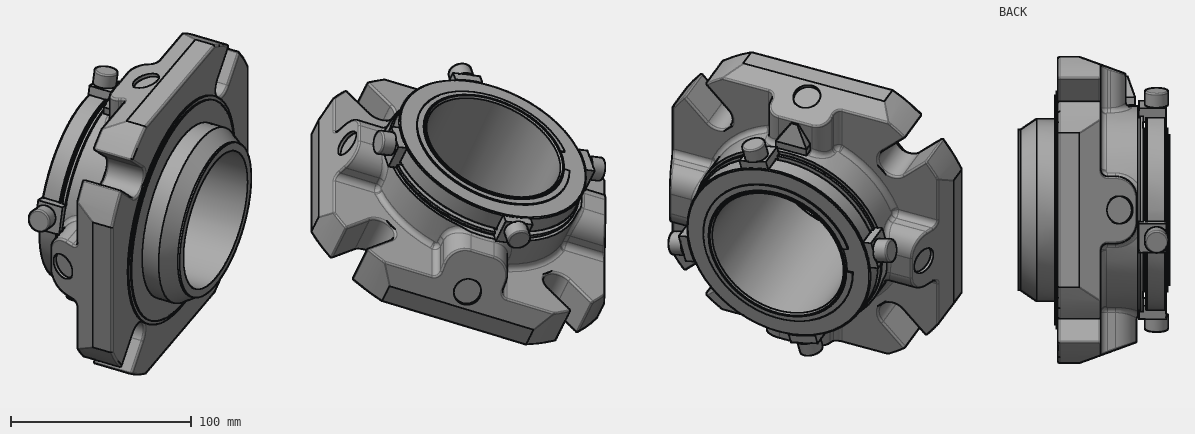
import cadquery as cq
import math


flange_size = 169.5
flange_front = 38.0
flange_back = 61.8
flange_corner_radius = 94.9
flange_edge_round = 1.2
corner_edge_round = 0.8
taper_start = 49.8
taper_angle = 20.0
quarter_turns = (0, 90, 180, 270)

slot_width = 17.5
slot_center_radius = 74.9

gasket_steps = ((131.5, 0.8), (127.0, 1.5))

gland_front = 17.5
gland_radius = 57.6
gland_root_round = 3.0

boss_front = 18.1
boss_half_width = 18.6
boss_corner_round = 11.9
logo_boss_front = 24.2
logo_boss_corner_round = 8.5
boss_root_round = 3.5
port_diameter = 15.2
port_depth = 2.0
side_port_x = 27.5
upright_port_x = 40.5

spigot_diameter = 112.7
spigot_front = 14.5
spigot_back = 16.3
groove_diameter = 111.1
rim_diameter = 90.5
rim_front = 13.9

bore_diameter = 79.5
bore_chamfer = 1.0
sleeve_diameter = 83.2
sleeve_length = 83.5
sleeve_tail_diameter = 101.1
sleeve_cone_start = 73.5
sleeve_cone_end = 82.3
sleeve_end_diameter = 89.1
collar_diameter = 111.1
collar_front = 1.9
collar_back = 13.0
collar_chamfer = 0.7

snap_ring_diameter = 90.5
snap_ring_front = 1.0
snap_ring_gap_angle = 20.5

clip_angle = -15.0
clip_width = 16.6
clip_outer_radius = 60.3
clip_back = 17.0
clip_lip_radius = 52.5
clip_seat_radius = 54.2
screw_x = 7.2
screw_diameter = 13.0
screw_top_radius = 68.5
screw_edge_round = 0.8

plate_half_width = 9.3
plate_tip_half_width = 1.9
plate_bottom = 58.0
plate_shoulder = 62.3
plate_tip = 74.0
plate_front = 19.0
plate_tip_step = 1.0

tolerance = 0.02
taper_slope = math.tan(math.radians(taper_angle))


def cylinder(diameter, start, end):
    """Cylinder about the X axis."""
    return cq.Workplane("YZ").workplane(offset=start).circle(diameter / 2).extrude(end - start)


def about_axis(shape, angle):
    """Turn a shape about the X axis; a positive angle leads from +Z towards -Y."""
    return shape.rotate((0, 0, 0), (1, 0, 0), angle)


def boss(front, corner_round):
    """Boss on the +Z side, blending into the flange face with concave root rounds."""
    half = boss_half_width
    side_start = front + corner_round
    side_end = flange_front - boss_root_round
    flat = half - corner_round
    convex = corner_round * (1 - math.sqrt(0.5))
    concave = boss_root_round * (1 - math.sqrt(0.5))
    foot = half + boss_root_round
    profile = (
        cq.Workplane("XY")
        .moveTo(taper_start, -foot)
        .lineTo(flange_front, -foot)
        .threePointArc((flange_front - concave, -half - concave), (side_end, -half))
        .lineTo(side_start, -half)
        .threePointArc((front + convex, -half + convex), (front, -flat))
        .lineTo(front, flat)
        .threePointArc((front + convex, half - convex), (side_start, half))
        .lineTo(side_end, half)
        .threePointArc((flange_front - concave, half + concave), (flange_front, foot))
        .lineTo(taper_start, foot)
        .close()
    )
    return profile.extrude(flange_size / 2)


def taper_envelope():
    """Square block whose four sides lean inward in front of the taper start."""
    half = flange_size / 2
    front_half = half - taper_start * taper_slope
    outline = [
        (0, -front_half), (taper_start, -half), (flange_back, -half),
        (flange_back, half), (taper_start, half), (0, front_half),
    ]
    side = cq.Workplane("XZ").polyline(outline).close().extrude(half, both=True)
    return side.intersect(about_axis(side, 90))


def make_flange():
    body = cylinder(2 * flange_corner_radius, flange_front, flange_back)
    for angle in quarter_turns:
        if angle == 0:
            lug = boss(logo_boss_front, logo_boss_corner_round)
        else:
            lug = boss(boss_front, boss_corner_round)
        body = body.union(about_axis(lug, angle))
    body = body.intersect(taper_envelope())
    slot = (
        cq.Workplane("XY").workplane(offset=slot_center_radius)
        .center(flange_back / 2, 0)
        .rect(2 * flange_back, slot_width)
        .extrude(flange_size)
        .union(cq.Workplane("YZ").center(0, slot_center_radius).circle(slot_width / 2).extrude(flange_back))
    )
    for angle in quarter_turns:
        body = body.cut(about_axis(slot, angle + 45))
    return body


def in_plane(edge, x):
    box = edge.BoundingBox()
    return abs(box.xmin - x) < tolerance and abs(box.xmax - x) < tolerance


def on_cylinder(edge, radius):
    points = [edge.positionAt(step / 4) for step in range(5)]
    return all(abs(math.hypot(point.y, point.z) - radius) < tolerance for point in points)


def add_barrel(body):
    """Gland barrel, with one root round running along the flange and around the bosses.

    The barrel starts out long enough to carry the full root round, then is faced off.
    """
    rough_front = boss_front - 2 * gland_root_round
    body = body.union(cylinder(2 * gland_radius, rough_front, flange_back))
    roots = [
        edge for edge in body.edges().vals()
        if on_cylinder(edge, gland_radius)
        and rough_front + tolerance < edge.BoundingBox().xmax < flange_front + tolerance
    ]
    rounded = body.newObject(roots).fillet(gland_root_round)
    return rounded.cut(cylinder(flange_size, 0, gland_front))


def round_outer_edges(body):
    """Round the tapered sides, the slots and the flange back, then the corner arcs between them."""
    taper_sine = math.sin(math.radians(taper_angle))
    edges = [edge for edge in body.edges().vals() if in_plane(edge, flange_back)]
    for face in body.faces("%PLANE").vals():
        if abs(face.normalAt().x + taper_sine) < tolerance:
            edges += [
                edge for edge in face.Edges()
                if edge.BoundingBox().xmax < flange_front + tolerance
            ]
    for edge in body.edges().vals():
        diagonal = edge.geomType() == "LINE" and abs(abs(edge.tangentAt(0.5).y) - math.sqrt(0.5)) < tolerance
        slot_end = edge.geomType() == "CIRCLE" and not on_cylinder(edge, flange_corner_radius)
        if in_plane(edge, flange_front) and (diagonal or slot_end):
            edges.append(edge)
    body = body.newObject(edges).fillet(flange_edge_round)
    corner_arcs = [
        edge for edge in body.edges().vals()
        if in_plane(edge, flange_front) and on_cylinder(edge, flange_corner_radius)
    ]
    return body.newObject(corner_arcs).fillet(corner_edge_round)


def port_tool(port_x):
    """Shallow round recess square to the tapered +Z side, before it is turned into place."""
    surface_z = flange_size / 2 - (taper_start - port_x) * taper_slope
    sine = math.sin(math.radians(taper_angle))
    cosine = math.cos(math.radians(taper_angle))
    plane = cq.Plane(origin=(port_x, 0, surface_z), xDir=(0, 1, 0), normal=(-sine, 0, cosine))
    return cq.Workplane(plane).circle(port_diameter / 2).extrude(port_depth, both=True)


def nameplate():
    """Pointed wedge on the recessed boss, leaning back towards its tip."""
    outline = (
        cq.Workplane("YZ")
        .polyline([
            (-plate_half_width, plate_bottom), (plate_half_width, plate_bottom),
            (plate_half_width, plate_shoulder), (plate_tip_half_width, plate_tip),
            (-plate_tip_half_width, plate_tip), (-plate_half_width, plate_shoulder),
        ])
        .close()
        .extrude(flange_front)
    )
    side = (
        cq.Workplane("XZ")
        .polyline([
            (plate_front, plate_bottom), (plate_front, plate_shoulder),
            (logo_boss_front - plate_tip_step, plate_tip), (logo_boss_front, plate_tip),
            (logo_boss_front, plate_shoulder), (flange_front, plate_bottom),
        ])
        .close()
        .extrude(plate_half_width, both=True)
    )
    return outline.intersect(side)


def clip():
    """Setting clip on the +Z side, with its lip in the gap behind the collar and its screw."""
    block = (
        cq.Workplane("XY").workplane(offset=clip_seat_radius)
        .center((collar_front + clip_back) / 2, 0)
        .rect(clip_back - collar_front, clip_width)
        .extrude(clip_outer_radius - clip_seat_radius)
        .cut(cylinder(collar_diameter, 0, collar_back))
    )
    lip = (
        cq.Workplane("XY").workplane(offset=clip_lip_radius)
        .center((collar_back + clip_back) / 2, 0)
        .rect(clip_back - collar_back, clip_width)
        .extrude(clip_outer_radius - clip_lip_radius)
    )
    screw = (
        cq.Workplane("XY").workplane(offset=clip_outer_radius)
        .center(screw_x, 0)
        .circle(screw_diameter / 2)
        .extrude(screw_top_radius - clip_outer_radius)
        .faces(">Z").edges().fillet(screw_edge_round)
    )
    return block.union(lip).union(screw)


def sleeve_and_rings():
    """Shaft sleeve with its tail cone, the collar, and the rings and gasket of the gland."""
    tail_radius = sleeve_tail_diameter / 2
    tail = (
        cq.Workplane("XY")
        .polyline([
            (flange_front, 0), (flange_front, tail_radius), (sleeve_cone_start, tail_radius),
            (sleeve_cone_end, sleeve_end_diameter / 2), (sleeve_length, sleeve_end_diameter / 2),
            (sleeve_length, 0),
        ])
        .close()
        .revolve(360, (0, 0, 0), (1, 0, 0))
    )
    collar = cylinder(collar_diameter, collar_front, collar_back).edges().chamfer(collar_chamfer)
    body = cylinder(sleeve_diameter, 0, sleeve_length).union(tail).union(collar)
    body = body.union(cylinder(rim_diameter, rim_front, gland_front))
    body = body.union(cylinder(spigot_diameter, spigot_front, spigot_back))
    body = body.union(cylinder(groove_diameter, spigot_back, flange_front))
    for diameter, height in gasket_steps:
        body = body.union(cylinder(diameter, flange_front, flange_back + height))
    return body


def snap_ring():
    """Open ring around the sleeve; its gap lies between -Y and the ring's upper end."""
    gap = (
        cq.Workplane("XY")
        .moveTo(0, 0)
        .lineTo(collar_back, 0)
        .lineTo(collar_back, snap_ring_diameter)
        .lineTo(0, snap_ring_diameter)
        .close()
        .revolve(snap_ring_gap_angle, (0, 0, 0), (1, 0, 0))
    )
    gap = about_axis(gap, 180 - snap_ring_gap_angle)
    return cylinder(snap_ring_diameter, snap_ring_front, collar_back).cut(gap)


result = add_barrel(round_outer_edges(make_flange()))
for angle in quarter_turns:
    port_x = upright_port_x if angle % 180 == 0 else side_port_x
    result = result.cut(about_axis(port_tool(port_x), angle))
result = result.union(nameplate()).union(sleeve_and_rings()).union(snap_ring())
for angle in quarter_turns:
    result = result.union(about_axis(clip(), angle + clip_angle))

bore = cylinder(bore_diameter, 0, sleeve_length)
result = result.cut(bore).faces("<X").edges("%CIRCLE").edges("<X").edges(cq.selectors.RadiusNthSelector(0)).chamfer(bore_chamfer)